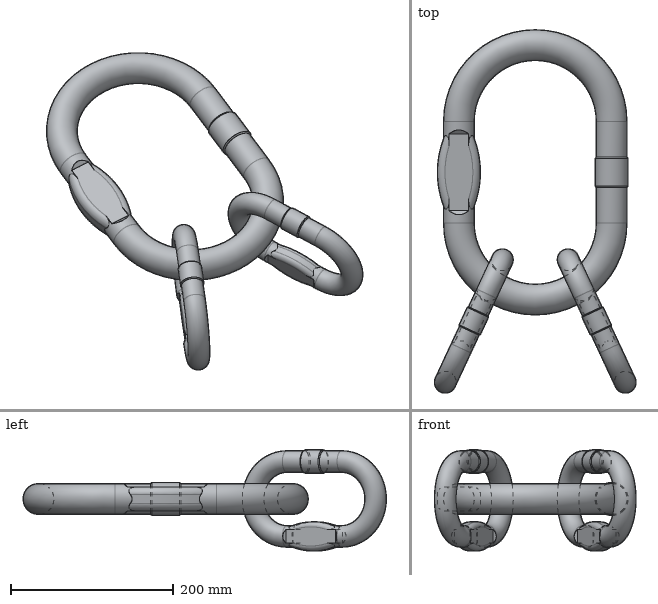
import cadquery as cq
import math

MASTER = dict(
    wire_diameter=38.0,
    bend_radius=94.0,
    straight_length=125.5,
    collar_diameter=41.0,
    collar_length=37.5,
    collar_taper=2.0,
    swell_width=53.5,
    swell_arc_radius=116.5,
    swell_edge_radius=9.5,
    flat_thickness=29.5,
    flat_length=94.0,
    flat_mouth_length=104.5,
)

SIDE = dict(
    wire_diameter=27.0,
    bend_radius=46.0,
    straight_length=74.5,
    collar_diameter=29.0,
    collar_length=26.5,
    collar_taper=1.5,
    swell_width=36.5,
    swell_arc_radius=82.5,
    swell_edge_radius=6.5,
    flat_thickness=21.0,
    flat_length=67.5,
    flat_mouth_length=73.5,
)
SIDE_OFFSET_X = 76.0
SIDE_OFFSET_Y = -183.5
SIDE_SPREAD_ANGLE = 25.0


def wire_loop(wire_diameter, bend_radius, straight_length):
    """Round wire swept around a racetrack centreline in XY."""
    half = straight_length / 2
    path = (
        cq.Workplane("XY")
        .moveTo(bend_radius, -half)
        .lineTo(bend_radius, half)
        .threePointArc((0, half + bend_radius), (-bend_radius, half))
        .lineTo(-bend_radius, -half)
        .threePointArc((0, -half - bend_radius), (bend_radius, -half))
        .close()
    )
    section = cq.Workplane("XZ", origin=(bend_radius, -half, 0)).circle(wire_diameter / 2)
    return section.sweep(path)


def collar(wire_diameter, diameter, length, taper):
    """Raised weld collar around the Y axis, tapering to the wire at both ends."""
    half = length / 2
    return (
        cq.Workplane("XY")
        .moveTo(0, -half)
        .lineTo(wire_diameter / 2, -half)
        .lineTo(diameter / 2, -half + taper)
        .lineTo(diameter / 2, half - taper)
        .lineTo(wire_diameter / 2, half)
        .lineTo(0, half)
        .close()
        .revolve(360, (0, 0, 0), (0, 1, 0))
    )


def swelling(width, arc_radius, edge_radius, thickness, length):
    """Barrel-shaped plate with arched sides and rounded long edges."""
    half_width = width / 2
    half_length = length / 2
    sagitta = arc_radius - math.sqrt(arc_radius**2 - half_length**2)
    end_half_width = half_width - sagitta
    return (
        cq.Workplane("XY", origin=(0, 0, -thickness / 2))
        .moveTo(-end_half_width, -half_length)
        .lineTo(end_half_width, -half_length)
        .threePointArc((half_width, 0), (end_half_width, half_length))
        .lineTo(-end_half_width, half_length)
        .threePointArc((-half_width, 0), (-end_half_width, -half_length))
        .close()
        .extrude(thickness)
        .edges("%CIRCLE")
        .fillet(edge_radius)
    )


def flat_cutter(wire_diameter, thickness, length, mouth_length):
    """Slope-ended block that presses a flat into the upper side of the wire."""
    floor = thickness / 2
    surface = wire_diameter / 2
    return (
        cq.Workplane("YZ")
        .moveTo(-length / 2, floor)
        .lineTo(length / 2, floor)
        .lineTo(mouth_length / 2, surface)
        .lineTo(-mouth_length / 2, surface)
        .close()
        .extrude(surface, both=True)
    )


def make_link(size):
    """Link in XY: collar on the +X arm, flattened swelling on the -X arm."""
    wire_diameter = size["wire_diameter"]
    arm = size["bend_radius"]
    thickness = size["flat_thickness"]
    length = size["flat_length"]

    link = wire_loop(wire_diameter, arm, size["straight_length"])
    upper_cutter = flat_cutter(wire_diameter, thickness, length, size["flat_mouth_length"])
    lower_cutter = upper_cutter.mirror("XY")
    for cutter in (upper_cutter, lower_cutter):
        link = link.cut(cutter.translate((-arm, 0, 0)))

    bulge = swelling(
        size["swell_width"], size["swell_arc_radius"], size["swell_edge_radius"], thickness, length
    )
    ring = collar(
        wire_diameter, size["collar_diameter"], size["collar_length"], size["collar_taper"]
    )
    link = link.union(bulge.translate((-arm, 0, 0))).union(ring.translate((arm, 0, 0)))
    return link.solids()


def make_side_link(side):
    """Upright side link, collar on top; side is -1 for the -X copy and +1 for +X."""
    return (
        make_link(SIDE)
        .rotate((0, 0, 0), (0, 1, 0), -90)
        .rotate((0, 0, 0), (0, 0, 1), side * SIDE_SPREAD_ANGLE)
        .translate((side * SIDE_OFFSET_X, SIDE_OFFSET_Y, 0))
    )


master_link = make_link(MASTER)
side_links = [make_side_link(side).val() for side in (-1, 1)]

result = cq.Compound.makeCompound([master_link.val(), *side_links])